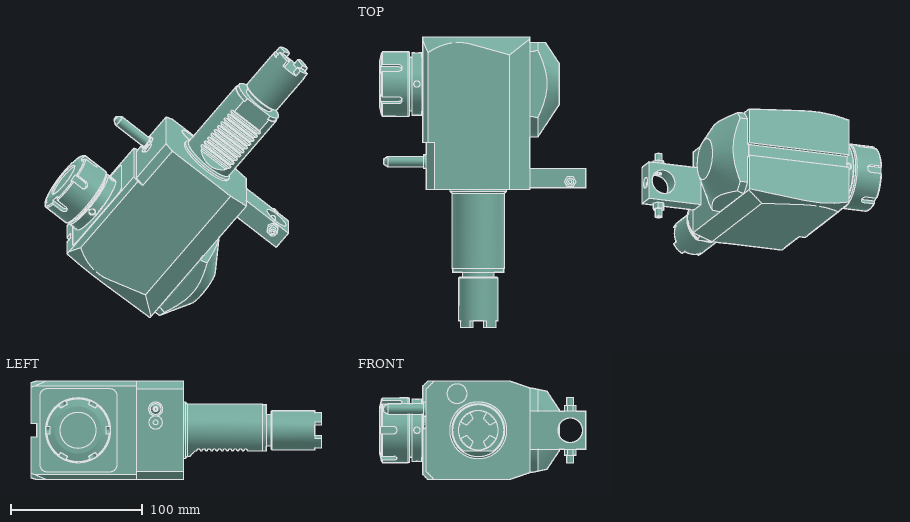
import cadquery as cq
import math


rear_y = 116.0
half_height = 37.5
left_x = -42.2
right_x = 39.3
left_chamfer = 4.0
step_y = 35.5
step_depth = 2.7
step_chamfer = 6.2
taper_start_x = 23.9
taper_drop = 5.3

crown_x = -15.0
crown_height = 36.2
crown_radius = 106.0
crown_flat_angle = 5.1
crown_slope = 0.32
crown_length = 17.7
crown_margin = 8.8

key_width = 10.0
key_depth = 4.5

spindle_y = 80.2
nut_front_x = -74.9
nut_rear_x = -52.1
nut_radius = 24.7
nut_face_radius = 17.9
collet_bore_radius = 13.7
collet_bore_depth = 1.3
nut_slot_count = 6
nut_slot_width = 6.0
upper_slot_end_x = -57.9
lower_slot_end_x = -61.8
nut_slot_floor = 21.2
neck_radius = 20.5
ring_front_x = -50.4
ring_rear_x = -42.8
ring_radius = 23.9
ring_hole_count = 4
ring_hole_x = -46.5
ring_hole_diameter = 4.9
ring_hole_depth = 2.2

pad_front_y = 50.5
pad_rear_y = 109.0
pad_half_height = 31.5
pad_corner = 5.3
mark_depth = 0.2

cover_radius = 40.5
cover_rim = 6.0
cover_end_x = 61.6
cover_end_radius = 15.7
cover_rear_y = 111.8
cover_flat_height = 32.0
cover_flat_length = 2.0
cover_flat_slope = 0.21

collar_radius = 21.6
collar_length = 1.3
shank_radius = 20.0
shank_start = 2.9
shank_length = 63.0
shank_end_radius = 19.5
shank_end_band = 3.0
drive_neck_radius = 12.1
drive_start = 66.5
drive_radius = 15.0
drive_end = 99.8
drive_chamfer = 0.7
dog_tip = 220.8 - rear_y
dog_count = 4
dog_inner_distance = 9.0
dog_inner_half_width = 3.5
dog_outer_half_width = 5.3

flat_z = -16.0
flat_start = 8.6
tooth_count = 10
tooth_first = 11.5
tooth_pitch = 4.0
tooth_depth = 1.65
tooth_root_half_width = 0.7
tooth_mouth_half_width = 1.65

plug_x = -16.1
plug_z = 27.8
plug_radius = 7.5

pin_y = 21.2
pin_z = 16.1
pin_radius = 4.09
pin_tip_x = -72.0
pin_tip_length = 3.3
pin_tip_radius = 1.88
pin_bore_radius = 1.0
pin_bore_depth = 3.3
pin_collar_radius = 5.3
pin_collar_length = 2.0
screw_z = 6.0
screw_head_radius = 5.0
screw_seat_radius = 3.5
screw_socket_size = 4.0
screw_socket_depth = 1.3

bracket_front_y = 1.3
bracket_rear_y = 16.1
bracket_end_x = 81.7
bracket_half_height = 14.5
bracket_hole_x = 69.9
bracket_hole_radius = 9.3
bracket_outlet_radius = 4.0
bolt_y = 6.0
bolt_radius = 2.7
bolt_end_z = 25.0
nut_thickness = 4.5
nut_corner_diameter = 8.8
bolt_socket_size = 2.9
bolt_socket_depth = 1.8
bolt_bore_radius = 2.2
bolt_inner_z = 9.7

OVERLAP = 1.0


def box(x_range, y_range, z_range):
    """Box between two limits along each axis."""
    sizes = [high - low for low, high in (x_range, y_range, z_range)]
    corner = (x_range[0], y_range[0], z_range[0])
    return cq.Workplane("XY").box(*sizes, centered=False).translate(corner)


def x_cylinder(x_start, x_end, radius, y, z):
    """Cylinder along X."""
    plane = cq.Workplane("YZ", origin=(x_start, y, z))
    return plane.circle(radius).extrude(x_end - x_start)


def y_extrusion(points, y_start, y_end):
    """Closed (x, z) outline carried along Y."""
    plane = cq.Workplane("XZ", origin=(0, y_start, 0))
    return plane.polyline(points).close().extrude(y_start - y_end)


def turned_about_x(profile, y, z):
    """Solid turned from (x, radius) points about an axis along X."""
    plane = cq.Workplane("XY", origin=(0, y, z))
    return plane.polyline(profile).close().revolve(360, (0, 0, 0), (1, 0, 0))


def housing_section(x_left, chamfer, y_start, y_end):
    """Stretch of the housing with chamfered left edges and a tapered right side."""
    upper = [
        (x_left, half_height - chamfer),
        (x_left + chamfer, half_height),
        (taper_start_x, half_height),
        (right_x, half_height - taper_drop),
    ]
    lower = [(x, -z) for x, z in reversed(upper)]
    return y_extrusion(upper + lower, y_start, y_end)


def crown_outline(y, offset):
    """Half outline of the rear slope: an arc running into a tangent line."""
    radius = crown_radius + offset
    center_z = crown_height - crown_radius
    plane = cq.Workplane("XZ", origin=(0, y, 0))
    start_x = left_x - crown_margin
    end_x = right_x + crown_margin

    def arc_point(angle):
        return (crown_x + radius * math.sin(angle), center_z + radius * math.cos(angle))

    flat_angle = math.radians(crown_flat_angle)
    start_angle = math.asin((start_x - crown_x) / radius)
    tangent_point = arc_point(flat_angle)
    end_z = tangent_point[1] - (end_x - tangent_point[0]) * math.tan(flat_angle)
    return (
        plane.moveTo(start_x, 0)
        .lineTo(*arc_point(start_angle))
        .threePointArc(arc_point(0), tangent_point)
        .lineTo(end_x, end_z)
        .lineTo(end_x, 0)
        .close()
        .wires()
        .val()
    )


def rear_crown():
    """Envelope that slopes the rear ends of the upper and lower sides."""
    rear_wire = crown_outline(rear_y, 0)
    front_wire = crown_outline(rear_y - crown_length, crown_slope * crown_length)
    upper = cq.Workplane("XY").add(cq.Solid.makeLoft([rear_wire, front_wire], True))
    return upper.union(upper.mirror("XY"))


def make_housing():
    crown_start = rear_y - crown_length
    front = housing_section(left_x + step_depth, step_chamfer, 0, step_y)
    middle = housing_section(left_x, left_chamfer, step_y, crown_start)
    rear = housing_section(left_x, left_chamfer, crown_start, rear_y).intersect(rear_crown())
    key_slot = box(
        (left_x, right_x),
        (rear_y - key_depth, rear_y),
        (-key_width / 2, key_width / 2),
    )
    pad = box(
        (left_x, left_x + mark_depth),
        (pad_front_y, pad_rear_y),
        (-pad_half_height, pad_half_height),
    )
    pad = pad.edges("|X").fillet(pad_corner)
    plug = cq.Workplane("XZ").center(plug_x, plug_z).circle(plug_radius).extrude(-mark_depth)
    return front.union(middle).union(rear).cut(key_slot).cut(pad).cut(plug)


def nut_slot(end_x):
    """Wrench slot at the top of the collet nut, round at its inner end."""
    end_center = end_x - nut_slot_width / 2
    height = nut_radius - nut_slot_floor + OVERLAP
    straight = box(
        (nut_front_x - OVERLAP, end_center),
        (spindle_y - nut_slot_width / 2, spindle_y + nut_slot_width / 2),
        (nut_slot_floor, nut_slot_floor + height),
    )
    plane = cq.Workplane("XY", origin=(end_center, spindle_y, nut_slot_floor))
    return straight.union(plane.circle(nut_slot_width / 2).extrude(height))


def around_spindle(shape, angle):
    return shape.rotate((0, spindle_y, 0), (1, spindle_y, 0), angle)


def make_collet():
    """Collet nut, neck and ring turned about the spindle axis, with slots and holes."""
    inner_x = left_x + OVERLAP
    collet = turned_about_x(
        [
            (inner_x, 0),
            (nut_front_x + collet_bore_depth, 0),
            (nut_front_x + collet_bore_depth, collet_bore_radius),
            (nut_front_x, collet_bore_radius),
            (nut_front_x, nut_face_radius),
            (nut_front_x + 1.3, nut_radius - 0.9),
            (nut_front_x + 2.2, nut_radius),
            (nut_rear_x - 1.0, nut_radius),
            (nut_rear_x, nut_radius - 0.5),
            (nut_rear_x, neck_radius),
            (ring_front_x, neck_radius),
            (ring_front_x, ring_radius),
            (ring_rear_x, ring_radius),
            (ring_rear_x, neck_radius),
            (inner_x, neck_radius),
        ],
        spindle_y,
        0,
    )
    for index in range(nut_slot_count):
        angle = 90 + index * 360 / nut_slot_count
        faces_up = math.cos(math.radians(angle)) > nut_slot_width / nut_radius
        end_x = upper_slot_end_x if faces_up else lower_slot_end_x
        collet = collet.cut(around_spindle(nut_slot(end_x), angle))
    hole_floor = ring_radius - ring_hole_depth
    hole_plane = cq.Workplane("XY", origin=(ring_hole_x, spindle_y, hole_floor))
    ring_hole = hole_plane.circle(ring_hole_diameter / 2).extrude(ring_hole_depth + OVERLAP)
    for index in range(ring_hole_count):
        collet = collet.cut(around_spindle(ring_hole, index * 360 / ring_hole_count))
    return collet


def make_cover():
    """Turned cover, trimmed by a flat at the rear and sloping flats above and below."""
    inner_x = right_x - OVERLAP
    cover = turned_about_x(
        [
            (inner_x, 0),
            (inner_x, cover_radius),
            (right_x + cover_rim, cover_radius),
            (cover_end_x, cover_end_radius),
            (cover_end_x, 0),
        ],
        spindle_y,
        0,
    )
    slope_x = right_x + cover_flat_length
    end_height = cover_flat_height - cover_flat_slope * (cover_end_x - slope_x)
    upper = [
        (inner_x, cover_flat_height),
        (slope_x, cover_flat_height),
        (cover_end_x, end_height),
    ]
    lower = [(x, -z) for x, z in reversed(upper)]
    limits = y_extrusion(upper + lower, spindle_y - cover_radius, cover_rear_y)
    return cover.intersect(limits)


def shank_flat():
    """Cutter for the flat under the shank, with its sloped start and row of teeth."""
    bottom_z = -shank_radius - OVERLAP
    slope_run = flat_z - bottom_z
    side = cq.Workplane("YZ", origin=(-shank_radius, 0, 0))
    width = 2 * shank_radius
    cutter = (
        side.moveTo(-flat_start, flat_z)
        .lineTo(-shank_length, flat_z)
        .lineTo(-shank_length, bottom_z)
        .lineTo(-flat_start + slope_run, bottom_z)
        .close()
        .extrude(width)
    )
    for index in range(tooth_count):
        center = -tooth_first - index * tooth_pitch
        groove = side.polyline(
            [
                (center - tooth_mouth_half_width, flat_z),
                (center - tooth_root_half_width, flat_z + tooth_depth),
                (center + tooth_root_half_width, flat_z + tooth_depth),
                (center + tooth_mouth_half_width, flat_z),
            ]
        )
        cutter = cutter.union(groove.close().extrude(width))
    return cutter


def make_shank():
    """Collar, shank, neck and drive cylinder turned about the Y axis."""
    profile = [
        (0, OVERLAP),
        (collar_radius, OVERLAP),
        (collar_radius, -collar_length),
        (shank_radius, -shank_start),
        (shank_radius, -shank_length + shank_end_band),
        (shank_end_radius, -shank_length + shank_end_band),
        (shank_end_radius, -shank_length),
        (drive_neck_radius, -shank_length),
        (drive_neck_radius, -drive_start),
        (drive_radius - drive_chamfer, -drive_start),
        (drive_radius, -drive_start - drive_chamfer),
        (drive_radius, -drive_end),
        (0, -drive_end),
    ]
    turned = cq.Workplane("XY").polyline(profile).close().revolve(360, (0, 0, 0), (0, 1, 0))
    return turned.cut(shank_flat())


def make_drive_dogs():
    """Dogs on the drive end, splayed outwards and rounded by the drive radius."""
    dog_root = -drive_end + OVERLAP
    dog = y_extrusion(
        [
            (dog_inner_distance, -dog_inner_half_width),
            (drive_radius, -dog_outer_half_width),
            (drive_radius, dog_outer_half_width),
            (dog_inner_distance, dog_inner_half_width),
        ],
        -dog_tip,
        dog_root,
    )
    dogs = cq.Workplane("XY")
    for index in range(dog_count):
        angle = (index + 0.5) * 360 / dog_count
        dogs = dogs.add(dog.rotate((0, 0, 0), (0, 1, 0), angle))
    envelope = cq.Workplane("XZ", origin=(0, dog_root, 0))
    return envelope.circle(drive_radius).extrude(dog_tip + dog_root).intersect(dogs.combine())


def make_pin():
    """Coolant pin with a collar at its root and a conical drilled tip."""
    seat_x = left_x + step_depth
    collar_x = seat_x - pin_collar_length
    pin = turned_about_x(
        [
            (seat_x + OVERLAP, 0),
            (seat_x + OVERLAP, pin_collar_radius),
            (collar_x, pin_collar_radius),
            (collar_x, pin_radius),
            (pin_tip_x + pin_tip_length, pin_radius),
            (pin_tip_x, pin_tip_radius),
            (pin_tip_x, 0),
        ],
        pin_y,
        pin_z,
    )
    bore = x_cylinder(pin_tip_x, pin_tip_x + pin_bore_depth, pin_bore_radius, pin_y, pin_z)
    return pin.cut(bore)


def make_screw():
    """Countersunk screw head standing proud beside the pin."""
    seat_x = left_x + step_depth
    head_x = seat_x - pin_collar_length
    head = turned_about_x(
        [
            (seat_x + OVERLAP, 0),
            (seat_x + OVERLAP, screw_seat_radius),
            (seat_x, screw_seat_radius),
            (head_x, screw_head_radius),
            (head_x, 0),
        ],
        pin_y,
        screw_z,
    )
    socket_plane = cq.Workplane("YZ", origin=(head_x, pin_y, screw_z))
    return head.cut(socket_plane.polygon(6, screw_socket_size).extrude(screw_socket_depth))


def make_bolt():
    """Upper clamp bolt with its lock nut and hexagon socket."""
    plane = cq.Workplane("XY", origin=(bracket_hole_x, bolt_y, bracket_half_height))
    stud = plane.circle(bolt_radius).extrude(bolt_end_z - bracket_half_height)
    nut = plane.polygon(6, nut_corner_diameter).extrude(nut_thickness)
    socket_plane = cq.Workplane("XY", origin=(bracket_hole_x, bolt_y, bolt_end_z))
    socket = socket_plane.polygon(6, bolt_socket_size).extrude(-bolt_socket_depth)
    return stud.union(nut).cut(socket)


def make_bracket():
    """Side bracket with a cross hole, an outlet on its end and two clamp bolts."""
    bracket = box(
        (right_x - OVERLAP, bracket_end_x),
        (bracket_front_y, bracket_rear_y),
        (-bracket_half_height, bracket_half_height),
    )
    hole_plane = cq.Workplane("XZ", origin=(bracket_hole_x, bracket_front_y, 0))
    hole = hole_plane.circle(bracket_hole_radius).extrude(bracket_front_y - bracket_rear_y)
    middle_y = (bracket_front_y + bracket_rear_y) / 2
    outlet = x_cylinder(bracket_hole_x, bracket_end_x, bracket_outlet_radius, middle_y, 0)
    bore_plane = cq.Workplane("XY", origin=(bracket_hole_x, bolt_y, -bolt_inner_z))
    bolt_bore = bore_plane.circle(bolt_bore_radius).extrude(2 * bolt_inner_z)
    bolt = make_bolt()
    bracket = bracket.cut(hole).cut(outlet).cut(bolt_bore)
    return bracket.union(bolt).union(bolt.mirror("XY"))


result = (
    make_housing()
    .union(make_collet())
    .union(make_cover())
    .union(make_shank())
    .union(make_drive_dogs())
    .union(make_pin())
    .union(make_screw())
    .union(make_bracket())
)